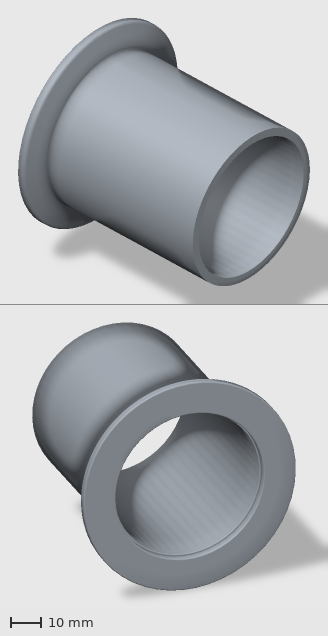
import cadquery as cq
import math

length = 70.0
flange_diameter = 75.0
tube_outer_diameter = 57.0
tube_bore_diameter = 51.0
recess_diameter = 52.2
recess_depth = 2.5
clamp_angle = math.radians(15.0)
rim_width = 3.0

face_edge_radius = 0.5
rim_back_radius = 1.0
neck_radius = 0.5
recess_mouth_radius = 0.5
bore_lip_radius = 0.3
match_tolerance = 0.01

flange_radius = flange_diameter / 2
tube_radius = tube_outer_diameter / 2
bore_radius = tube_bore_diameter / 2
recess_radius = recess_diameter / 2
cone_end = rim_width + (flange_radius - tube_radius) * math.tan(clamp_angle)


def make_body():
    """Revolve the half section of the flanged tube about X."""
    return (
        cq.Workplane("XZ")
        .moveTo(0, recess_radius)
        .lineTo(0, flange_radius)
        .lineTo(rim_width, flange_radius)
        .lineTo(cone_end, tube_radius)
        .lineTo(length, tube_radius)
        .lineTo(length, bore_radius)
        .lineTo(recess_depth, bore_radius)
        .lineTo(recess_depth, recess_radius)
        .close()
        .revolve(360, (0, 0, 0), (1, 0, 0))
    )


def round_edge(body, x, radius, fillet_radius):
    """Fillet the circular edge of the given radius at position x."""
    edges = [
        edge
        for edge in body.edges("%CIRCLE").vals()
        if abs(edge.Center().x - x) < match_tolerance
        and abs(edge.radius() - radius) < match_tolerance
    ]
    return body.newObject(edges).fillet(fillet_radius)


result = make_body()
result = round_edge(result, 0, flange_radius, face_edge_radius)
result = round_edge(result, rim_width, flange_radius, rim_back_radius)
result = round_edge(result, cone_end, tube_radius, neck_radius)
result = round_edge(result, 0, recess_radius, recess_mouth_radius)
result = round_edge(result, recess_depth, bore_radius, bore_lip_radius)